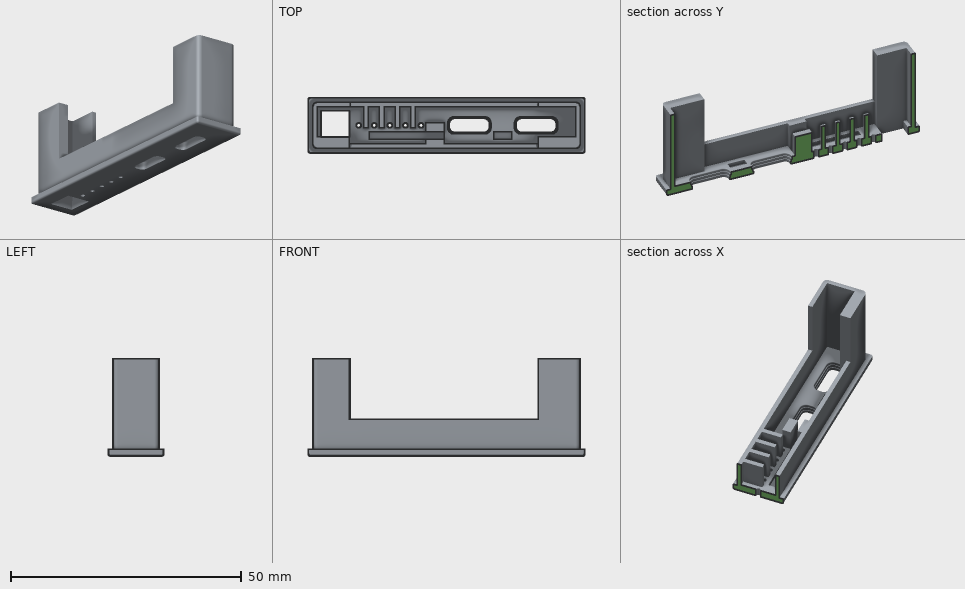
import cadquery as cq
PLATE_LENGTH = 60.0
PLATE_WIDTH = 12.0
PLATE_THICKNESS = 1.5
PLATE_EDGE_RADIUS = 0.5

TOTAL_HEIGHT = 21.15
BODY_INSET = 1.0
BODY_LENGTH = PLATE_LENGTH - 2 * BODY_INSET
BODY_WIDTH = PLATE_WIDTH - 2 * BODY_INSET
BODY_CORNER_RADIUS = 1.0
WALL = 1.0
FLOOR_Z = 2.0
LOW_WALL_Z = 8.0

CAVITY_X_MIN = -BODY_LENGTH / 2 + WALL
CAVITY_X_MAX = BODY_LENGTH / 2 - WALL
CAVITY_Y_MAX = BODY_WIDTH / 2 - WALL
CAVITY_Y_MIN = -CAVITY_Y_MAX

LEFT_TOWER_FRONT_X = -21.05
LEFT_TOWER_BACK_X = -20.9
RIGHT_TOWER_X = 19.9
TOWER_CAVITY_Y_MIN = -2.5

WINDOW_X_MIN = -27.2
WINDOW_Y_MAX = 3.15

RIB_COUNT = 4
RIB_PITCH = 3.4
RIB_WIDTH = 1.0
FIRST_RIB_X = -17.45
RIB_END_Y = -0.5
PIN_HOLE_COUNT = RIB_COUNT + 1
PIN_HOLE_DIAMETER = 1.0
PIN_HOLE_PITCH = 3.38
FIRST_PIN_HOLE_X = FIRST_RIB_X - 1.6

OBLONG_CENTERS_X = (4.95, 19.45)
OBLONG_LENGTH = 8.7
OBLONG_WIDTH = 3.0
OBLONG_CORNER_RADIUS = 1.1
OBLONG_LEDGE_COUNT = 2
OBLONG_LEDGE = 0.18
OBLONG_TIER_HEIGHT = FLOOR_Z / (OBLONG_LEDGE_COUNT + 1)
OBLONG_RIM_RADIUS = OBLONG_LEDGE

BLOCK_X_MIN = -4.5
BLOCK_LENGTH = 4.0
BLOCK_X_MAX = BLOCK_X_MIN + BLOCK_LENGTH
BLOCK_Y_MAX = 0.6
BLOCK_BACK_Z = 7.0
GROOVE_Y_MAX = -1.4
GROOVE_Y_MIN = -3.0
GROOVE_BOTTOM_Z = 1.0
LONG_GROOVE_X_MIN = -16.8
SHORT_GROOVE_X_MIN = 10.2
SHORT_GROOVE_LENGTH = BLOCK_LENGTH


def box(x_min, x_max, y_min, y_max, z_min, z_max):
    """Axis-aligned box given by its limits."""
    size = (x_max - x_min, y_max - y_min, z_max - z_min)
    return cq.Workplane("XY").box(*size, centered=False).translate((x_min, y_min, z_min))


def centered_box(length, width, z_min, z_max):
    """Box centred on the Z axis."""
    return box(-length / 2, length / 2, -width / 2, width / 2, z_min, z_max)


def base_plate():
    plate = centered_box(PLATE_LENGTH, PLATE_WIDTH, 0, PLATE_THICKNESS)
    return plate.edges("|Z or <Z").fillet(PLATE_EDGE_RADIUS)


def body_block():
    body = centered_box(BODY_LENGTH, BODY_WIDTH, PLATE_THICKNESS, TOTAL_HEIGHT)
    return body.edges("|Z").fillet(BODY_CORNER_RADIUS)


def cavity():
    narrow = box(CAVITY_X_MIN, CAVITY_X_MAX, TOWER_CAVITY_Y_MIN, CAVITY_Y_MAX, FLOOR_Z, TOTAL_HEIGHT)
    wide = box(LEFT_TOWER_FRONT_X, RIGHT_TOWER_X, CAVITY_Y_MIN, CAVITY_Y_MAX, FLOOR_Z, TOTAL_HEIGHT)
    return narrow.union(wide)


def gap_between_towers():
    front = box(LEFT_TOWER_FRONT_X, RIGHT_TOWER_X, -BODY_WIDTH / 2, 0, LOW_WALL_Z, TOTAL_HEIGHT)
    back = box(LEFT_TOWER_BACK_X, RIGHT_TOWER_X, 0, BODY_WIDTH / 2, LOW_WALL_Z, TOTAL_HEIGHT)
    return front.union(back)


def ribs():
    """Row of ribs, each reaching into the back wall."""
    y_max = CAVITY_Y_MAX + WALL / 2
    row = cq.Workplane("XY")
    for index in range(RIB_COUNT):
        x_min = FIRST_RIB_X + index * RIB_PITCH - RIB_WIDTH / 2
        row = row.add(box(x_min, x_min + RIB_WIDTH, RIB_END_Y, y_max, PLATE_THICKNESS, LOW_WALL_Z))
    return row.combine()


def support_block():
    """Front part level with the low wall, and a slightly lower part behind the groove."""
    front_y_min = CAVITY_Y_MIN - WALL / 2
    front = box(BLOCK_X_MIN, BLOCK_X_MAX, front_y_min, GROOVE_Y_MIN, PLATE_THICKNESS, LOW_WALL_Z)
    back = box(BLOCK_X_MIN, BLOCK_X_MAX, GROOVE_Y_MAX, BLOCK_Y_MAX, PLATE_THICKNESS, BLOCK_BACK_Z)
    return front.union(back)


def grooves():
    long_groove = box(LONG_GROOVE_X_MIN, BLOCK_X_MAX, GROOVE_Y_MIN, GROOVE_Y_MAX, GROOVE_BOTTOM_Z, FLOOR_Z)
    short_x_max = SHORT_GROOVE_X_MIN + SHORT_GROOVE_LENGTH
    short_groove = box(SHORT_GROOVE_X_MIN, short_x_max, GROOVE_Y_MIN, GROOVE_Y_MAX, GROOVE_BOTTOM_Z, FLOOR_Z)
    return long_groove.union(short_groove)


def window():
    return box(WINDOW_X_MIN, LEFT_TOWER_FRONT_X, TOWER_CAVITY_Y_MIN, WINDOW_Y_MAX, 0, FLOOR_Z)


def pin_holes():
    centers = [(FIRST_PIN_HOLE_X + index * PIN_HOLE_PITCH, 0) for index in range(PIN_HOLE_COUNT)]
    return cq.Workplane("XY").pushPoints(centers).circle(PIN_HOLE_DIAMETER / 2).extrude(FLOOR_Z)


def rounded_prism(length, width, corner_radius, bottom_z):
    """Upright prism with rounded corners, from bottom_z up to the floor level."""
    prism = cq.Workplane("XY").workplane(offset=bottom_z).rect(length, width).extrude(FLOOR_Z - bottom_z)
    return prism.edges("|Z").fillet(corner_radius)


def oblong_opening(center_x):
    """Through slot that widens upwards in narrow, equal ledges."""
    opening = rounded_prism(OBLONG_LENGTH, OBLONG_WIDTH, OBLONG_CORNER_RADIUS, 0)
    for ledge in range(1, OBLONG_LEDGE_COUNT + 1):
        offset = ledge * OBLONG_LEDGE
        tier = rounded_prism(
            OBLONG_LENGTH + 2 * offset,
            OBLONG_WIDTH + 2 * offset,
            OBLONG_CORNER_RADIUS + offset,
            ledge * OBLONG_TIER_HEIGHT,
        )
        opening = opening.union(tier)
    return opening.translate((center_x, 0, 0))


result = base_plate().union(body_block()).cut(cavity()).cut(gap_between_towers())
result = result.union(ribs()).union(support_block())
result = result.cut(grooves()).cut(window()).cut(pin_holes())
for opening_x in OBLONG_CENTERS_X:
    result = result.cut(oblong_opening(opening_x))

for opening_x in OBLONG_CENTERS_X:
    rim_half_length = OBLONG_LENGTH / 2 + (OBLONG_LEDGE_COUNT + 1) * OBLONG_LEDGE
    rim_half_width = OBLONG_WIDTH / 2 + (OBLONG_LEDGE_COUNT + 1) * OBLONG_LEDGE
    rim = cq.selectors.BoxSelector(
        (opening_x - rim_half_length, -rim_half_width, FLOOR_Z - OBLONG_LEDGE),
        (opening_x + rim_half_length, rim_half_width, FLOOR_Z + OBLONG_LEDGE),
    )
    result = result.edges(rim).edges("#Z").fillet(OBLONG_RIM_RADIUS)